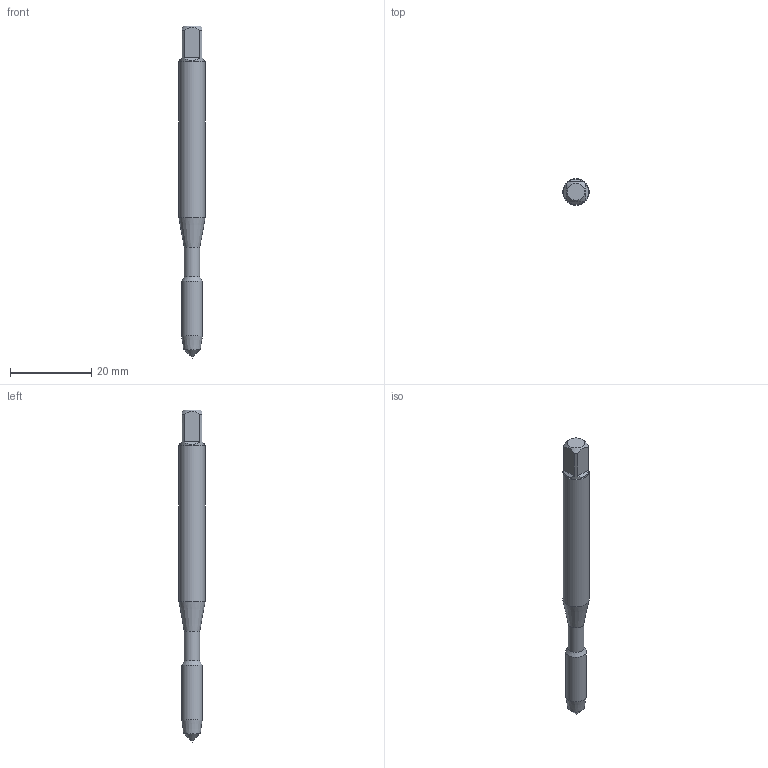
import cadquery as cq

SHANK_DIAMETER = 6.48
DRIVE_CORNER_DIAMETER = 6.22
DRIVE_TOP_DIAMETER = 4.26
THREAD_DIAMETER = 5.1
NECK_DIAMETER = 3.86
TIP_DIAMETER = 4.1

SQUARE_ACROSS_FLATS = 4.9
FLAT_COUNT = 4
DRIVE_CHAMFER_HEIGHT = 1.05

TIP_TOP = TIP_DIAMETER / 2
LEAD_TOP = 5.5
BACK_CHAMFER_BOTTOM = 18.87
CUTTING_LENGTH = 19.963
NECK_TOP = 27.34
SHANK_BOTTOM = 34.6
SHANK_TOP = 73.03
FLAT_BOTTOM = 73.94
OVERALL_LENGTH = 81.81


def turned(bottom, stations):
    """Revolve a profile that starts on the axis at bottom and rises through (diameter, height) stations."""
    profile = cq.Workplane("XZ").moveTo(0, bottom)
    for diameter, height in stations:
        profile = profile.lineTo(diameter / 2, height)
    top = stations[-1][1]
    return profile.lineTo(0, top).close().revolve(360, (0, 0, 0), (0, 1, 0))


def make_cutting_part():
    """Pointed and tapered cutting end, chamfered down to the neck at its back."""
    return turned(0, [
        (TIP_DIAMETER, TIP_TOP),
        (THREAD_DIAMETER, LEAD_TOP),
        (THREAD_DIAMETER, BACK_CHAMFER_BOTTOM),
        (NECK_DIAMETER, CUTTING_LENGTH),
    ])


def make_flat_cutter():
    """Cutter for the drive flat on +X, running out at 45 degrees at its lower end."""
    flat = SQUARE_ACROSS_FLATS / 2
    reach = SHANK_DIAMETER
    return (
        cq.Workplane("XZ")
        .moveTo(flat, FLAT_BOTTOM)
        .lineTo(flat + reach, FLAT_BOTTOM - reach)
        .lineTo(flat + reach, OVERALL_LENGTH)
        .lineTo(flat, OVERALL_LENGTH)
        .close()
        .extrude(reach, both=True)
    )


def make_shank():
    """Neck, cone, cylindrical shank and square drive."""
    body = turned(CUTTING_LENGTH, [
        (NECK_DIAMETER, CUTTING_LENGTH),
        (NECK_DIAMETER, NECK_TOP),
        (SHANK_DIAMETER, SHANK_BOTTOM),
        (SHANK_DIAMETER, SHANK_TOP),
        (DRIVE_CORNER_DIAMETER, SHANK_TOP),
        (DRIVE_CORNER_DIAMETER, OVERALL_LENGTH - DRIVE_CHAMFER_HEIGHT),
        (DRIVE_TOP_DIAMETER, OVERALL_LENGTH),
    ])
    flat_cutter = make_flat_cutter()
    for index in range(FLAT_COUNT):
        angle = index * 360 / FLAT_COUNT
        body = body.cut(flat_cutter.rotate((0, 0, 0), (0, 0, 1), angle))
    return body


cutting_part = make_cutting_part()
shank = make_shank()
result = cq.Compound.makeCompound([cutting_part.val(), shank.val().Solids()[0]])